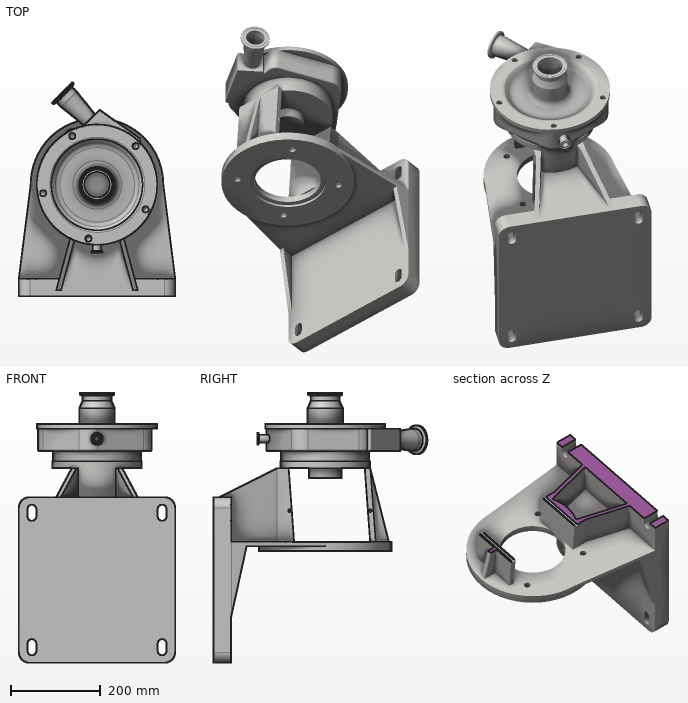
import cadquery as cq
import math


plate_width = 350.0
plate_height = 370.0
plate_thickness = 39.0
plate_corner_radius = 24.0
plate_front_y = -249.5
plate_back_y = plate_front_y + plate_thickness
slot_width = 19.0
slot_length = 35.5
slot_x = 145.5
slot_edge_distance = 35.0

base_top_z = 270.0
base_thickness = 20.5
taper_thickness = base_thickness / 2
base_radius = 148.5
base_opening_radius = 73.5
base_recess_radius = 84.5
base_recess_depth = 5.5
base_hole_diameter = 15.0
base_hole_circle_radius = 113.5
base_hole_count = 4
base_hole_start_angle = 45.0

gusset_thickness = 10.0
gusset_reach = 35.0
gusset_bottom_z = 100.0

lantern_top_z = 435.0
lantern_half_width = 56.5
window_front_top_y = -81.5
window_rear_top_y = 88.0
window_lean = 12.0
rear_wall_thickness = 12.5
rear_fin_bottom_y = 142.5
wall_hole_diameter = 5.5
wall_hole_z = 340.0
wall_hole_inset = 5.5

rib_thickness = 10.0
rib_angle = 15.0
rib_bend_y = -108.0
rib_end_y = -236.5
rib_web_thickness = 10.0

boss_radius = 37.0
boss_bottom_z = 412.5
mount_radius = 100.0
mount_top_z = 450.0
neck_radius = 99.0
casing_bottom_z = 473.0
casing_apothem = 114.5
casing_lobe_radius = 35.5
casing_outlet_lobe_radius = 21.0
casing_outlet_side_y = 127.0
nose_side_radius = 6.0
casing_bottom_fillet = 3.5
first_lobe_angle = 45.0
lobe_count = 5
lobe_pitch = 360.0 / lobe_count

cover_bottom_z = 523.5
cover_top_z = 533.5
cover_radius = 134.5
cover_hole_circle_radius = 122.0
cover_hole_diameter = 14.0
cover_hole_depth = 10.0
cover_hole_tip_angle = 118.0
recess_depth = 14.0
recess_mouth_radius = 106.0
recess_slope_radius = 102.0
recess_floor_radius = 83.0
recess_corner_radius = 14.5

nozzle_top_z = 603.0
nozzle_radius = 40.0
nozzle_cove_radius = 14.5
nozzle_shoulder_z = 568.5
nozzle_neck_z = 585.0
nozzle_neck_radius = 32.5
nozzle_bore_radius = 28.5
nozzle_ferrule_radius = 38.5
ferrule_rim = 4.0
ferrule_taper = 2.5

groove_depth = 1.0
groove_width = 2.5
nozzle_groove_radius = 35.0
outlet_groove_radius = 27.0
drain_groove_radius = 9.5

outlet_angle = 135.0
outlet_face_distance = 114.0
outlet_nose_offset = 122.5
outlet_pipe_offset = 90.5
outlet_end_distance = 200.0
outlet_straight_distance = 179.5
outlet_root_length = 3.0
outlet_root_radius = 18.0
outlet_end_radius = 25.0
outlet_wall = 4.0
outlet_mouth_depth = 8.5
outlet_step_length = 7.0
outlet_step_radius = 19.0
outlet_ferrule_radius = 32.5

drain_z = 500.5
drain_end_y = -152.0
drain_radius = 9.0
drain_bore_radius = 6.0
drain_ferrule_radius = 13.0
drain_rim = 2.5

pipe_embed = 9.0


def cylinder(radius, bottom_z, top_z):
    return cq.Workplane("XY", origin=(0, 0, bottom_z)).circle(radius).extrude(top_z - bottom_z)


def side_profile(points, x_from, x_to):
    """Extrude a closed outline of (Y, Z) points along X."""
    return cq.Workplane("YZ", origin=(x_from, 0, 0)).polyline(points).close().extrude(x_to - x_from)


def polar(radius, angle):
    return (radius * math.cos(math.radians(angle)), radius * math.sin(math.radians(angle)))


def turned(profile):
    """Revolve a closed outline of (radius, Z) points about the Z axis."""
    return cq.Workplane("XZ").polyline(profile).close().revolve(360, (0, 0), (0, 1))


def mirrored_pair(shape):
    return shape.union(shape.mirror("YZ"))


def make_wall_plate():
    plate = (
        cq.Workplane("XZ", origin=(0, plate_back_y, plate_height / 2))
        .rect(plate_width, plate_height)
        .extrude(plate_thickness)
        .edges("|Y")
        .fillet(plate_corner_radius)
    )
    slot_offset = plate_height / 2 - slot_edge_distance
    slots = (
        cq.Workplane("XZ", origin=(0, plate_back_y, plate_height / 2))
        .rect(2 * slot_x, 2 * slot_offset, forConstruction=True)
        .vertices()
        .slot2D(slot_length, slot_width, 90)
        .extrude(plate_thickness)
    )
    return plate.cut(slots)


def make_base_plate():
    bottom_z = base_top_z - base_thickness
    disc = cylinder(base_radius, bottom_z, base_top_z)
    taper_outline = [
        (-base_radius, 0),
        (base_radius, 0),
        (plate_width / 2, plate_back_y),
        (-plate_width / 2, plate_back_y),
    ]
    taper = (
        cq.Workplane("XY", origin=(0, 0, base_top_z))
        .polyline(taper_outline)
        .close()
        .extrude(-taper_thickness)
    )
    holes = (
        cq.Workplane("XY", origin=(0, 0, base_top_z))
        .polarArray(base_hole_circle_radius, base_hole_start_angle, 360, base_hole_count)
        .circle(base_hole_diameter / 2)
        .extrude(-base_thickness)
    )
    opening = cylinder(base_opening_radius, bottom_z, base_top_z)
    recess = cylinder(base_recess_radius, bottom_z, bottom_z + base_recess_depth)
    return disc.union(taper).cut(holes).cut(opening).cut(recess)


def make_gussets():
    taper_slope = (plate_width / 2 - base_radius) / -plate_back_y
    tip_y = plate_back_y + gusset_reach
    tip_x = plate_width / 2 - gusset_reach * taper_slope
    under_z = base_top_z - taper_thickness
    plan = [
        (plate_width / 2, plate_back_y),
        (tip_x, tip_y),
        (tip_x - gusset_thickness, tip_y),
        (plate_width / 2 - gusset_thickness, plate_back_y),
    ]
    blank = (
        cq.Workplane("XY", origin=(0, 0, gusset_bottom_z))
        .polyline(plan)
        .close()
        .extrude(under_z - gusset_bottom_z)
    )
    triangle = [(plate_back_y, gusset_bottom_z), (plate_back_y, under_z), (tip_y, under_z)]
    return mirrored_pair(blank.intersect(side_profile(triangle, 0, plate_width)))


def make_ribs():
    """Two upright ribs: straight beside the lantern, then splayed out to the wall plate."""
    slope = math.tan(math.radians(rib_angle))
    inner_bend_x = lantern_half_width - rib_thickness / math.cos(math.radians(rib_angle))
    inner_start_y = window_front_top_y
    splay = (rib_bend_y - rib_end_y) * slope
    plan = [
        (lantern_half_width, inner_start_y),
        (lantern_half_width, rib_bend_y),
        (lantern_half_width + splay, rib_end_y),
        (inner_bend_x + splay, rib_end_y),
        (inner_bend_x - (inner_start_y - rib_bend_y) * slope, inner_start_y),
    ]
    blank = (
        cq.Workplane("XY", origin=(0, 0, base_top_z))
        .polyline(plan)
        .close()
        .extrude(lantern_top_z - base_top_z)
    )
    outline = [
        (inner_start_y, base_top_z),
        (inner_start_y, lantern_top_z),
        (rib_bend_y, lantern_top_z),
        (rib_end_y, plate_height),
        (rib_end_y, base_top_z),
    ]
    return mirrored_pair(blank.intersect(side_profile(outline, 0, plate_width)))


def make_rib_web():
    """Level web closing the space between the ribs at the top of the wall plate."""
    inner_y = -math.sqrt(mount_radius**2 - lantern_half_width**2)
    splay = (rib_bend_y - plate_back_y) * math.tan(math.radians(rib_angle))
    inner_x = lantern_half_width - rib_thickness / 2
    plan = [
        (-inner_x, inner_y),
        (inner_x, inner_y),
        (inner_x, rib_bend_y),
        (inner_x + splay, plate_back_y),
        (-inner_x - splay, plate_back_y),
        (-inner_x, rib_bend_y),
    ]
    web = cq.Workplane("XY", origin=(0, 0, plate_height)).polyline(plan).close()
    return web.extrude(-rib_web_thickness)


def make_lantern():
    front_outline = [
        (window_front_top_y, lantern_top_z),
        (window_front_top_y + window_lean, base_top_z),
        (-mount_radius, base_top_z),
        (-mount_radius, lantern_top_z),
    ]
    front_wall = side_profile(front_outline, -lantern_half_width, lantern_half_width)
    front_wall = front_wall.intersect(cylinder(mount_radius, base_top_z, lantern_top_z))

    rear_top_y = window_rear_top_y + rear_wall_thickness
    rear_outline = [
        (window_rear_top_y, lantern_top_z),
        (window_rear_top_y + window_lean, base_top_z),
        (rear_top_y + window_lean, base_top_z),
        (rear_top_y, lantern_top_z),
    ]
    rear_wall = side_profile(rear_outline, -lantern_half_width, lantern_half_width)
    fin_outline = [
        (window_rear_top_y, lantern_top_z),
        (window_rear_top_y + window_lean, base_top_z),
        (rear_fin_bottom_y, base_top_z),
        (rear_top_y, lantern_top_z),
    ]
    rear_fin = side_profile(fin_outline, -rib_thickness / 2, rib_thickness / 2)

    lean_at_holes = window_lean * (lantern_top_z - wall_hole_z) / (lantern_top_z - base_top_z)
    hole_points = [
        (window_front_top_y + lean_at_holes - wall_hole_inset, wall_hole_z),
        (window_rear_top_y + lean_at_holes + wall_hole_inset, wall_hole_z),
    ]
    holes = (
        cq.Workplane("YZ")
        .pushPoints(hole_points)
        .circle(wall_hole_diameter / 2)
        .extrude(lantern_half_width, both=True)
    )
    front = front_wall.union(make_ribs()).union(make_rib_web())
    return front.union(rear_wall).union(rear_fin).cut(holes)


def outlet_point(distance, offset):
    """Plan point at a distance along the discharge direction and an offset to its right."""
    along = polar(distance, outlet_angle)
    across = polar(offset, outlet_angle - 90)
    return (along[0] + across[0], along[1] + across[1])


def round_corner(block, corner, radius):
    """Fillet the upright edge of a casing block at a plan corner."""
    middle = (corner[0], corner[1], (casing_bottom_z + cover_bottom_z) / 2)
    return block.edges("|Z").edges(cq.selectors.NearestToPointSelector(middle)).fillet(radius)


def make_casing():
    """Five-sided casing with rounded lobes and a pointed nose carrying the discharge face."""
    lobe_reach = casing_apothem / math.cos(math.pi / lobe_count)
    lobes = [polar(lobe_reach, first_lobe_angle + i * lobe_pitch) for i in range(lobe_count)]
    nose_corner = lobes[0]

    flat_x, flat_y = polar(1, first_lobe_angle + 1.5 * lobe_pitch)
    lobes[1] = ((casing_apothem - casing_outlet_side_y * flat_y) / flat_x, casing_outlet_side_y)

    height = cover_bottom_z - casing_bottom_z
    casing = cq.Workplane("XY", origin=(0, 0, casing_bottom_z)).polyline(lobes).close().extrude(height)
    lobe_radii = [casing_lobe_radius] * lobe_count
    lobe_radii[1] = casing_outlet_lobe_radius
    for lobe, radius in zip(lobes, lobe_radii):
        casing = round_corner(casing, lobe, radius)
    casing = casing.faces("<Z").edges().fillet(casing_bottom_fillet)

    foot_x, foot_y = outlet_point(outlet_face_distance, 0)
    nose_foot = (foot_x + casing_outlet_side_y - foot_y, casing_outlet_side_y)
    nose_tip = outlet_point(outlet_face_distance, outlet_nose_offset)
    nose = (
        cq.Workplane("XY", origin=(0, 0, casing_bottom_z))
        .polyline([(0, 0), nose_corner, nose_tip, nose_foot])
        .close()
        .extrude(height)
    )
    return casing.union(round_corner(nose, nose_corner, nose_side_radius))


def make_recess():
    """Dish with a flat floor, a rounded corner and a wall sloping at 45 degrees."""
    floor_z = cover_top_z - recess_depth
    bend = recess_corner_radius * math.sin(math.radians(45))
    rise = recess_corner_radius - bend
    slope_foot = (recess_floor_radius + bend, floor_z + rise)
    slope_top_z = slope_foot[1] + recess_slope_radius - slope_foot[0]
    return (
        cq.Workplane("XZ")
        .moveTo(0, floor_z)
        .lineTo(recess_floor_radius, floor_z)
        .tangentArcPoint(slope_foot, relative=False)
        .lineTo(recess_slope_radius, slope_top_z)
        .lineTo(recess_mouth_radius, cover_top_z)
        .lineTo(0, cover_top_z)
        .close()
        .revolve(360, (0, 0), (0, 1))
    )


def make_cover_holes():
    """Blind drilled holes with conical tips, one at each lobe."""
    radius = cover_hole_diameter / 2
    shoulder_z = cover_top_z - cover_hole_depth
    tip_z = shoulder_z - radius / math.tan(math.radians(cover_hole_tip_angle / 2))
    drill = turned([(0, tip_z), (radius, shoulder_z), (radius, cover_top_z), (0, cover_top_z)])
    holes = cq.Workplane("XY")
    for i in range(lobe_count):
        x, y = polar(cover_hole_circle_radius, first_lobe_angle + i * lobe_pitch)
        holes = holes.add(drill.translate((x, y, 0)))
    return holes.combine()


def face_groove(radius, face_z):
    """Ring cut into the end face of a ferrule turned about Z."""
    outer = cylinder(radius + groove_width / 2, face_z - groove_depth, face_z)
    return outer.cut(cylinder(radius - groove_width / 2, face_z - groove_depth, face_z))


def make_nozzle():
    floor_z = cover_top_z - recess_depth
    rim_z = nozzle_top_z - ferrule_rim
    cove_edge = nozzle_radius + nozzle_cove_radius
    cove_middle = nozzle_cove_radius * (1 - math.sin(math.radians(45)))
    nozzle = (
        cq.Workplane("XZ")
        .moveTo(nozzle_bore_radius, floor_z)
        .lineTo(cove_edge, floor_z)
        .threePointArc(
            (nozzle_radius + cove_middle, floor_z + cove_middle),
            (nozzle_radius, floor_z + nozzle_cove_radius),
        )
        .lineTo(nozzle_radius, nozzle_shoulder_z)
        .lineTo(nozzle_neck_radius, nozzle_neck_z)
        .lineTo(nozzle_neck_radius, rim_z - ferrule_taper)
        .lineTo(nozzle_ferrule_radius, rim_z)
        .lineTo(nozzle_ferrule_radius, nozzle_top_z)
        .lineTo(nozzle_bore_radius, nozzle_top_z)
        .close()
        .revolve(360, (0, 0), (0, 1))
    )
    return nozzle.cut(face_groove(nozzle_groove_radius, nozzle_top_z))


def make_outlet():
    rim = outlet_end_distance - ferrule_rim
    root = outlet_face_distance - pipe_embed
    mouth_bottom = outlet_end_distance - outlet_mouth_depth
    pipe = turned([
        (outlet_root_radius - outlet_wall, root),
        (outlet_root_radius, root),
        (outlet_root_radius, outlet_face_distance + outlet_root_length),
        (outlet_end_radius, outlet_straight_distance),
        (outlet_end_radius, rim - ferrule_taper),
        (outlet_ferrule_radius, rim),
        (outlet_ferrule_radius, outlet_end_distance),
        (outlet_end_radius - outlet_wall, outlet_end_distance),
        (outlet_end_radius - outlet_wall, mouth_bottom),
        (outlet_step_radius, mouth_bottom - outlet_step_length),
        (outlet_root_radius - outlet_wall, outlet_face_distance),
    ])
    pipe = pipe.cut(face_groove(outlet_groove_radius, outlet_end_distance))
    x, y = outlet_point(0, outlet_pipe_offset)
    outlet_z = (casing_bottom_z + cover_bottom_z) / 2
    pipe = pipe.rotate((0, 0, 0), (0, 1, 0), 90)
    return pipe.rotate((0, 0, 0), (0, 0, 1), outlet_angle).translate((x, y, outlet_z))


def make_drain():
    length = -drain_end_y
    rim = length - drain_rim
    stub = turned([
        (drain_bore_radius, casing_apothem),
        (drain_radius, casing_apothem),
        (drain_radius, rim - ferrule_taper),
        (drain_ferrule_radius, rim),
        (drain_ferrule_radius, length),
        (drain_bore_radius, length),
    ])
    stub = stub.cut(face_groove(drain_groove_radius, length))
    return stub.rotate((0, 0, 0), (1, 0, 0), 90).translate((0, 0, drain_z))


def make_pump():
    body = cylinder(boss_radius, boss_bottom_z, lantern_top_z)
    body = body.union(cylinder(mount_radius, lantern_top_z, mount_top_z))
    body = body.union(cylinder(neck_radius, mount_top_z, casing_bottom_z))
    body = body.union(make_casing())
    body = body.union(cylinder(cover_radius, cover_bottom_z, cover_top_z))
    body = body.cut(make_recess()).cut(make_cover_holes())
    return body.union(make_nozzle()).union(make_outlet()).union(make_drain())


bracket = make_wall_plate().union(make_base_plate()).union(make_gussets()).union(make_lantern())
result = bracket.union(make_pump())